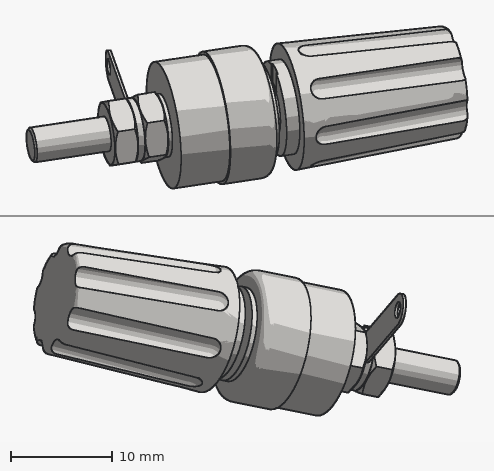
import cadquery as cq
import math


BODY_DIA = 13.3
BODY_TOP_Y = 10.0
BODY_EDGE_RADIUS = 1.0
SHOULDER_DIA = 12.7
SHOULDER_Y = 5.0
FLANGE_DIA = 9.5
FLANGE_TOP_Y = 10.55

NECK_DIA = 5.0
COLLAR_DIA = 9.5
COLLAR_END_Y = 11.3
KNOB_BASE_DIA = 12.7
KNOB_BASE_Y = 12.65
KNOB_TOP_DIA = 11.18
KNOB_TOP_Y = 29.85
KNOB_EDGE_RADIUS = 0.65

GROOVE_COUNT = 8
GROOVE_RADIUS = 1.25
GROOVE_END_Y = 15.0
GROOVE_AXIS_RADIUS_AT_END = 6.85
GROOVE_AXIS_RADIUS_AT_TOP = 5.9
GROOVE_OVERRUN = 2.0

RELIEF_WIDTH = 1.8
RELIEF_DEPTH = 0.15

STUD_DIA = 3.5
STUD_TIP_Y = -13.7
STUD_CHAMFER = 0.2

HEX_SIDES = 6
NUT_FLATS = 6.35
NUT_HEIGHT = 2.8
NUT_FACE_DIA = 6.35
NUT_FACE_HEIGHT = 0.4
NUT_CHAMFER_DIA = 6.2
NUT_CHAMFER_ANGLE = 30.0
INNER_NUT_TURN = 10.5
OUTER_NUT_TURN = 3.9

TAG_THICKNESS = 0.3
TAG_WIDTH = 3.3
TAG_TIP_X = -13.53
TAG_BEND_X = -2.9
TAG_ANGLE = 5.0
TAG_HOLE_DIA = 1.6

INNER_HEX_Y = -NUT_FACE_HEIGHT
TAG_TOP_Y = -NUT_HEIGHT
OUTER_HEX_Y = TAG_TOP_Y - TAG_THICKNESS - NUT_FACE_HEIGHT


def cylinder(diameter, y_low, y_high):
    """Cylinder on the Y axis between two heights."""
    start = cq.Vector(0, y_low, 0)
    return cq.Workplane(cq.Solid.makeCylinder(diameter / 2, y_high - y_low, start, cq.Vector(0, 1, 0)))


def make_body():
    upper = cylinder(BODY_DIA, SHOULDER_Y, BODY_TOP_Y).faces(">Y").edges().fillet(BODY_EDGE_RADIUS)
    lower = cylinder(SHOULDER_DIA, 0, SHOULDER_Y)
    flange = cylinder(FLANGE_DIA, BODY_TOP_Y, FLANGE_TOP_Y)
    return upper.union(lower).union(flange)


def make_groove_cutter():
    """Ball-ended cutter for the groove on the +Z side."""
    start = cq.Vector(0, GROOVE_END_Y, GROOVE_AXIS_RADIUS_AT_END)
    top = cq.Vector(0, KNOB_TOP_Y, GROOVE_AXIS_RADIUS_AT_TOP)
    axis = top - start
    rod = cq.Solid.makeCylinder(GROOVE_RADIUS, axis.Length + GROOVE_OVERRUN, start, axis)
    ball = cq.Workplane("XY").sphere(GROOVE_RADIUS).translate(start)
    return ball.union(cq.Workplane(rod))


def make_knob():
    knob = (
        cq.Workplane("XY")
        .moveTo(0, KNOB_BASE_Y)
        .lineTo(KNOB_BASE_DIA / 2, KNOB_BASE_Y)
        .lineTo(KNOB_TOP_DIA / 2, KNOB_TOP_Y)
        .lineTo(0, KNOB_TOP_Y)
        .close()
        .revolve(360, (0, 0, 0), (0, 1, 0))
        .faces(">Y")
        .edges()
        .fillet(KNOB_EDGE_RADIUS)
    )
    cutter = make_groove_cutter()
    for index in range(GROOVE_COUNT):
        turn = index * 360 / GROOVE_COUNT
        knob = knob.cut(cutter.rotate((0, 0, 0), (0, 1, 0), turn))
    return knob


def make_collar():
    collar = cylinder(COLLAR_DIA, COLLAR_END_Y, KNOB_BASE_Y)
    relief_length = (COLLAR_DIA - NECK_DIA) / 2
    relief = (
        cq.Workplane("XY")
        .box(RELIEF_WIDTH, RELIEF_DEPTH, relief_length, centered=(True, False, False))
        .translate((0, COLLAR_END_Y, NECK_DIA / 2))
    )
    neck = cylinder(NECK_DIA, FLANGE_TOP_Y, KNOB_BASE_Y)
    return collar.cut(relief).union(neck)


def make_stud():
    return cylinder(STUD_DIA, STUD_TIP_Y, 0).faces("<Y").edges().chamfer(STUD_CHAMFER)


def make_nut(hex_top_y, face_top_y, turn):
    """Nut with a round bearing face upwards; turn swings one corner from +Z towards -X."""
    hex_height = NUT_HEIGHT - NUT_FACE_HEIGHT
    half_side_angle = 180 / HEX_SIDES
    corner_radius = NUT_FLATS / 2 / math.cos(math.radians(half_side_angle))
    chamfer_radius = NUT_CHAMFER_DIA / 2
    chamfer_drop = (corner_radius - chamfer_radius) * math.tan(math.radians(NUT_CHAMFER_ANGLE))
    hexagon = (
        cq.Workplane("XZ")
        .polygon(HEX_SIDES, 2 * corner_radius)
        .extrude(hex_height)
        .rotate((0, 0, 0), (0, 1, 0), half_side_angle - turn)
    )
    envelope = (
        cq.Workplane("XY")
        .moveTo(0, 0)
        .lineTo(chamfer_radius, 0)
        .lineTo(corner_radius, -chamfer_drop)
        .lineTo(corner_radius, chamfer_drop - hex_height)
        .lineTo(chamfer_radius, -hex_height)
        .lineTo(0, -hex_height)
        .close()
        .revolve(360, (0, 0, 0), (0, 1, 0))
    )
    bearing_face = cylinder(NUT_FACE_DIA, hex_top_y, face_top_y)
    return hexagon.intersect(envelope).translate((0, hex_top_y, 0)).union(bearing_face)


def make_tag_arm():
    """Arm of the solder tag, tilted up towards the body."""
    end_radius = TAG_WIDTH / 2
    tilt = math.radians(TAG_ANGLE)
    arm_reach = TAG_BEND_X - TAG_TIP_X - TAG_THICKNESS * math.sin(tilt)
    arm_length = arm_reach / math.cos(tilt)
    hole_x = TAG_BEND_X - arm_length + end_radius
    return (
        cq.Workplane("XZ", origin=(0, TAG_TOP_Y, 0))
        .moveTo(0, end_radius)
        .lineTo(hole_x, end_radius)
        .threePointArc((hole_x - end_radius, 0), (hole_x, -end_radius))
        .lineTo(0, -end_radius)
        .close()
        .moveTo(hole_x, 0)
        .circle(TAG_HOLE_DIA / 2)
        .extrude(TAG_THICKNESS)
        .rotate((TAG_BEND_X, TAG_TOP_Y, 0), (TAG_BEND_X, TAG_TOP_Y, 1), -TAG_ANGLE)
    )


result = (
    make_body()
    .union(make_collar())
    .union(make_knob())
    .union(make_stud())
    .union(make_nut(INNER_HEX_Y, 0, INNER_NUT_TURN))
    .union(make_nut(OUTER_HEX_Y, TAG_TOP_Y, OUTER_NUT_TURN))
    .union(make_tag_arm())
)